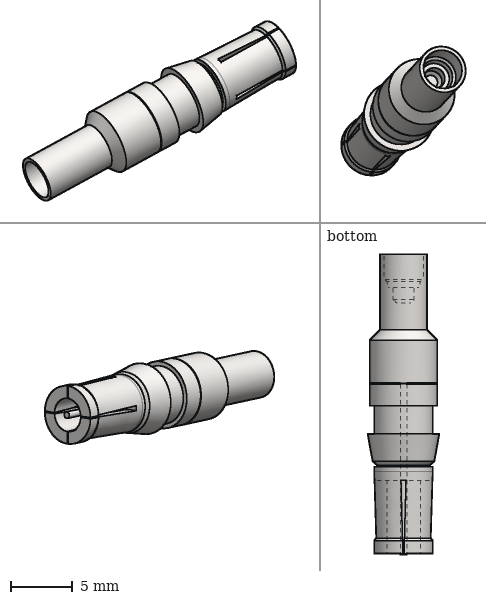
import cadquery as cq
OVERALL_LENGTH = 24.25

TUBE_RADIUS = 1.92
TUBE_LENGTH = 6.1
BODY_RADIUS = 2.75
BODY_START = TUBE_LENGTH + BODY_RADIUS - TUBE_RADIUS
BARREL_END = 10.4

BORE_RADIUS = 1.6
BORE_DEPTH = 2.04
BORE_SHOULDER_RADIUS = 1.35
BORE_SHOULDER_DEPTH = 2.18
BORE_FLOOR_RADIUS = 1.21
BORE_FLOOR_DEPTH = 2.67
CORE_HOLE_RADIUS = 0.85
CORE_HOLE_DEPTH = 3.64
CORE_FLOOR_RADIUS = 0.55
CORE_FLOOR_DEPTH = CORE_HOLE_DEPTH + CORE_HOLE_RADIUS - CORE_FLOOR_RADIUS

PIN_RADIUS = 0.27

BODY_GAP = 0.07
FLANGE_START = BARREL_END + BODY_GAP
FLANGE_END = 12.25
SHANK_RADIUS = 2.38
BARB_START = 14.5
BARB_RADIUS = 2.898
BARB_NOSE_START = 16.7
BARB_NOSE_RADIUS = 2.5
BARB_END = 17.05
BARB_TIP_RADIUS = 2.1
NECK_RADIUS = 1.72
SLEEVE_START = 17.15
TAPER_START = 17.5
TAPER_END = 22.92
TAPER_END_RADIUS = 2.2
LIP_START = 23.1
SLEEVE_END = 24.15

SOCKET_RADIUS = 1.35
SLOT_END = 18.24
SLOT_ROOT_WIDTH = 0.41
SLOT_MOUTH_WIDTH = 0.1
SLOT_OVERSHOOT = 0.25
SLOT_ANGLES = (0, 90, 180, 270)


def revolve_profile(points):
    """Turn a closed outline of (radius, Y) points about the Y axis."""
    return cq.Workplane("XY").polyline(points).close().revolve(360, (0, 0, 0), (0, 1, 0))


def make_crimp_barrel():
    return revolve_profile([
        (0, CORE_FLOOR_DEPTH),
        (CORE_FLOOR_RADIUS, CORE_FLOOR_DEPTH),
        (CORE_HOLE_RADIUS, CORE_HOLE_DEPTH),
        (CORE_HOLE_RADIUS, BORE_FLOOR_DEPTH),
        (BORE_FLOOR_RADIUS, BORE_FLOOR_DEPTH),
        (BORE_SHOULDER_RADIUS, BORE_SHOULDER_DEPTH),
        (BORE_RADIUS, BORE_DEPTH),
        (BORE_RADIUS, 0),
        (TUBE_RADIUS, 0),
        (TUBE_RADIUS, TUBE_LENGTH),
        (BODY_RADIUS, BODY_START),
        (BODY_RADIUS, BARREL_END),
        (PIN_RADIUS, BARREL_END),
        (PIN_RADIUS, OVERALL_LENGTH),
        (0, OVERALL_LENGTH),
    ])


def make_slot(angle):
    """Wedge that narrows toward the mouth and cuts one side of the sleeve wall."""
    return (
        cq.Workplane("XY")
        .polyline([
            (-SLOT_ROOT_WIDTH / 2, SLOT_END),
            (SLOT_ROOT_WIDTH / 2, SLOT_END),
            (SLOT_MOUTH_WIDTH / 2, SLEEVE_END),
            (-SLOT_MOUTH_WIDTH / 2, SLEEVE_END),
        ])
        .close()
        .extrude(SHANK_RADIUS + SLOT_OVERSHOOT)
        .rotate((0, 0, 0), (0, 1, 0), angle)
    )


def make_shell():
    shell = revolve_profile([
        (PIN_RADIUS, FLANGE_START),
        (BODY_RADIUS, FLANGE_START),
        (BODY_RADIUS, FLANGE_END),
        (SHANK_RADIUS, FLANGE_END),
        (SHANK_RADIUS, BARB_START),
        (BARB_RADIUS, BARB_START),
        (BARB_NOSE_RADIUS, BARB_NOSE_START),
        (BARB_TIP_RADIUS, BARB_END),
        (NECK_RADIUS, BARB_END),
        (NECK_RADIUS, SLEEVE_START),
        (SHANK_RADIUS, SLEEVE_START),
        (SHANK_RADIUS, TAPER_START),
        (TAPER_END_RADIUS, TAPER_END),
        (SHANK_RADIUS, LIP_START),
        (SHANK_RADIUS, SLEEVE_END),
        (SOCKET_RADIUS, SLEEVE_END),
        (SOCKET_RADIUS, SLOT_END),
        (PIN_RADIUS, SLOT_END),
    ])
    for angle in SLOT_ANGLES:
        shell = shell.cut(make_slot(angle))
    return shell


crimp_barrel = make_crimp_barrel()
shell = make_shell()

result = cq.Compound.makeCompound([crimp_barrel.val(), shell.val()])